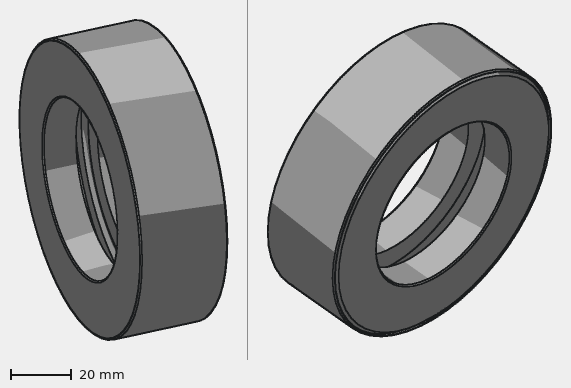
import cadquery as cq

overall_width = 31.7
outer_diameter = 101.6
bore_diameter = 61.9

sleeve_width = 31.4
sleeve_inner_diameter = 100.2
sleeve_chamfer = 0.5

washer_width = 12.0
bore_chamfer = 0.5
rear_face_diameter = 97.5

raceway_inner_radius = 38.7
raceway_pitch_radius = 41.7

outer_radius = outer_diameter / 2
seat_radius = sleeve_inner_diameter / 2
bore_radius = bore_diameter / 2
front_y = -overall_width / 2
rear_y = overall_width / 2
half_gap = overall_width / 2 - washer_width
raceway_half_width = raceway_pitch_radius - raceway_inner_radius
raceway_section_radius = (raceway_half_width**2 + half_gap**2) ** 0.5


def revolve_about_y(profile):
    """Close a profile in the XY plane and turn it about the Y axis."""
    return profile.close().revolve(360, (0, 0, 0), (0, 1, 0))


def make_raceway_cutter():
    """Ring of circular section, centred between the washers."""
    section = cq.Workplane("XY").center(raceway_pitch_radius, 0).circle(raceway_section_radius)
    return section.revolve(360, (-raceway_pitch_radius, 0, 0), (-raceway_pitch_radius, 1, 0))


def make_sleeve():
    """Thin tube with both outer rims chamfered."""
    sleeve_rear_y = front_y + sleeve_width
    return revolve_about_y(
        cq.Workplane("XY")
        .moveTo(seat_radius, front_y)
        .lineTo(outer_radius - sleeve_chamfer, front_y)
        .lineTo(outer_radius, front_y + sleeve_chamfer)
        .lineTo(outer_radius, sleeve_rear_y - sleeve_chamfer)
        .lineTo(outer_radius - sleeve_chamfer, sleeve_rear_y)
        .lineTo(seat_radius, sleeve_rear_y)
    )


def make_front_washer():
    """Flush washer with a chamfered bore mouth and a raceway in its inner face."""
    washer = revolve_about_y(
        cq.Workplane("XY")
        .moveTo(bore_radius + bore_chamfer, front_y)
        .lineTo(seat_radius, front_y)
        .lineTo(seat_radius, -half_gap)
        .lineTo(bore_radius, -half_gap)
        .lineTo(bore_radius, front_y + bore_chamfer)
    )
    return washer.cut(make_raceway_cutter())


def make_rear_washer():
    """Proud washer with a chamfered outer rear rim and bore, and a raceway in its inner face."""
    face_radius = rear_face_diameter / 2
    rim_chamfer = seat_radius - face_radius
    washer = revolve_about_y(
        cq.Workplane("XY")
        .moveTo(bore_radius, half_gap)
        .lineTo(seat_radius, half_gap)
        .lineTo(seat_radius, rear_y - rim_chamfer)
        .lineTo(face_radius, rear_y)
        .lineTo(bore_radius + bore_chamfer, rear_y)
        .lineTo(bore_radius, rear_y - bore_chamfer)
    )
    return washer.cut(make_raceway_cutter())


sleeve = make_sleeve()
front_washer = make_front_washer()
rear_washer = make_rear_washer()

result = cq.Compound.makeCompound([sleeve.val(), front_washer.val(), rear_washer.val()])